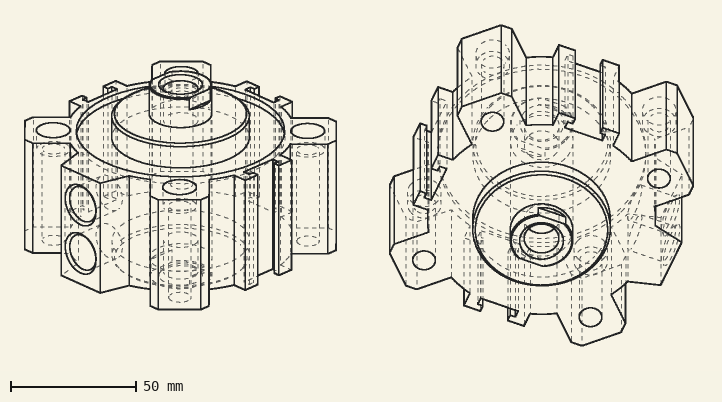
import cadquery as cq
import math

body_width = 100.0
body_height = 49.0
barrel_diameter = 91.1
half_width = body_width / 2
half_height = body_height / 2

lug_width = 23.5
lug_corner_cut = 12.0
lug_hole_offset = 35.9
lug_hole_diameter = 9.0
counterbore_diameter = 13.5
counterbore_depth = 8.3

rail_angles = (0, 90, 180)
rail_width = 26.0
slot_neck_width = 11.8
slot_inner_width = 16.2
slot_lip = 2.8
slot_depth = 5.7

body_depth = 106.0
boss_reach = body_depth - half_width
boss_face_width = 22.3
boss_root_width = 29.0
boss_root_reach = math.sqrt((barrel_diameter / 2) ** 2 - (boss_root_width / 2) ** 2)
port_diameter = 14.9
port_mouth_diameter = 17.5
port_depth = 15.9
port_spacing = 21.5

recess_diameter = 83.2
recess_depth = 3.0
collar_diameter = 55.0
collar_height = 7.5
collar_chamfer = 1.1

rod_diameter = 25.0
rod_top_reach = 13.0
rod_bottom_reach = 8.0
rod_chamfer = 0.4
flat_spacing = 22.0
flat_length = 5.3
socket_diameter = 13.9
socket_mouth_diameter = 17.5
socket_depth = 15.9

collar_top = half_height + collar_height
rod_top = collar_top + rod_top_reach
rod_bottom = -collar_top - rod_bottom_reach


def upright_cylinder(diameter, z_bottom, z_top):
    return cq.Workplane("XY").workplane(offset=z_bottom).circle(diameter / 2).extrude(z_top - z_bottom)


def upright_box(x_min, x_max, y_width):
    """Full-height block reaching from x_min to x_max, centred on Y."""
    return cq.Workplane("XY").box(x_max - x_min, y_width, body_height).translate(((x_min + x_max) / 2, 0, 0))


def countersunk_bore(diameter, mouth_diameter, depth):
    """Blind bore from the origin along +Z with a 45 degree countersink at its mouth."""
    radius = diameter / 2
    mouth_radius = mouth_diameter / 2
    outline = [
        (0, 0),
        (mouth_radius, 0),
        (radius, mouth_radius - radius),
        (radius, depth),
        (0, depth),
    ]
    return cq.Workplane("XZ").polyline(outline).close().revolve(360, (0, 0, 0), (0, 1, 0))


def diagonal_lugs():
    """Two crossed bars along the diagonals, trimmed to an octagon."""
    bar = cq.Workplane("XY").box(2 * body_width, lug_width, body_height)
    bars = bar.rotate((0, 0, 0), (0, 0, 1), 45).union(bar.rotate((0, 0, 0), (0, 0, 1), -45))
    trim = cq.Workplane("XY").box(body_width, body_width, body_height).edges("|Z").chamfer(lug_corner_cut)
    return bars.intersect(trim)


def t_slot():
    neck = upright_box(half_width - slot_depth, half_width, slot_neck_width)
    inner = upright_box(half_width - slot_depth, half_width - slot_lip, slot_inner_width)
    return neck.union(inner)


def port_boss():
    outline = [
        (0, 0),
        (-boss_root_width / 2, -boss_root_reach),
        (-boss_face_width / 2, -boss_reach),
        (boss_face_width / 2, -boss_reach),
        (boss_root_width / 2, -boss_root_reach),
    ]
    return cq.Workplane("XY").workplane(offset=-half_height).polyline(outline).close().extrude(body_height)


def lug_holes():
    through = upright_cylinder(lug_hole_diameter, -half_height, half_height)
    counterbore = upright_cylinder(counterbore_diameter, half_height - counterbore_depth, half_height)
    hole = through.union(counterbore).translate((lug_hole_offset, lug_hole_offset, 0))
    holes = hole
    for angle in (90, 180, 270):
        holes = holes.union(hole.rotate((0, 0, 0), (0, 0, 1), angle))
    return holes


def ports():
    """Upper and lower port, entering the boss along +Y."""
    bore = countersunk_bore(port_diameter, port_mouth_diameter, port_depth).rotate((0, 0, 0), (1, 0, 0), -90)
    upper = bore.translate((0, -boss_reach, port_spacing / 2))
    lower = bore.translate((0, -boss_reach, -port_spacing / 2))
    return upper.union(lower)


def make_housing():
    housing = upright_cylinder(barrel_diameter, -half_height, half_height)
    housing = housing.union(diagonal_lugs()).union(port_boss())

    for angle in rail_angles:
        rail = upright_box(0, half_width, rail_width).rotate((0, 0, 0), (0, 0, 1), angle)
        housing = housing.union(rail)
    for angle in rail_angles:
        housing = housing.cut(t_slot().rotate((0, 0, 0), (0, 0, 1), angle))

    housing = housing.cut(upright_cylinder(recess_diameter, half_height - recess_depth, half_height))
    collar = upright_cylinder(collar_diameter, -collar_top, collar_top)
    housing = housing.union(collar.faces("<Z or >Z").chamfer(collar_chamfer))

    rod_bore = upright_cylinder(rod_diameter, -collar_top, collar_top)
    return housing.cut(lug_holes()).cut(ports()).cut(rod_bore)


def make_rod():
    rod = upright_cylinder(rod_diameter, rod_bottom, rod_top).faces("<Z or >Z").chamfer(rod_chamfer)

    flat_depth = (rod_diameter - flat_spacing) / 2
    flat_centre = (flat_spacing + flat_depth) / 2
    flat_cutter = cq.Workplane("XY").box(flat_depth, rod_diameter, flat_length)
    for z in (rod_top - flat_length / 2, rod_bottom + flat_length / 2):
        for side in (-1, 1):
            rod = rod.cut(flat_cutter.translate((side * flat_centre, 0, z)))

    socket = countersunk_bore(socket_diameter, socket_mouth_diameter, socket_depth)
    rod = rod.cut(socket.translate((0, 0, rod_bottom)))
    rod = rod.cut(socket.rotate((0, 0, 0), (1, 0, 0), 180).translate((0, 0, rod_top)))
    return rod


housing = make_housing()
rod = make_rod()

result = cq.Compound.makeCompound([housing.solids().val(), rod.solids().val()])